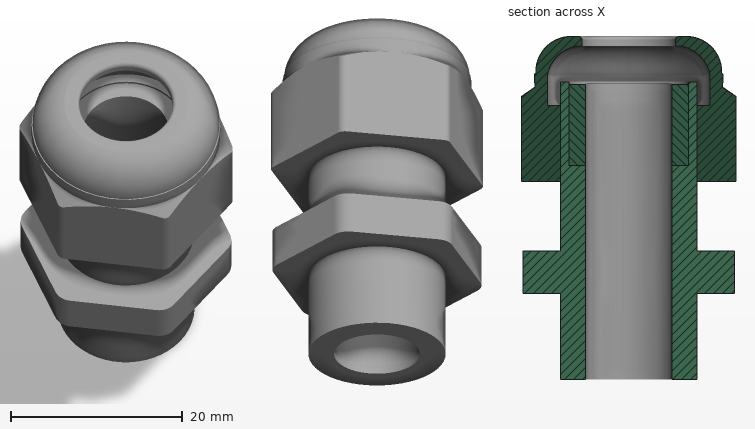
import cadquery as cq
import math

TOTAL_HEIGHT = 40.0
ACROSS_FLATS = 22.0

TUBE_RADIUS = 8.0
TUBE_TOP = 34.7
BORE_RADIUS = 5.0
FLANGE_BOTTOM = 10.0
FLANGE_HEIGHT = 5.0
FLANGE_CORNER_RADIUS = 2.15

SEAL_OUTER_RADIUS = 6.9
SEAL_INNER_RADIUS = BORE_RADIUS
SEAL_BOTTOM = 25.0
SEAL_TOP = 34.45

CAP_BOTTOM = 23.1
CAP_CORNER_RADIUS = 1.0
HEX_TOP = 34.1
HEX_CHAMFER_ANGLE = 35.0
COLLAR_RADIUS = ACROSS_FLATS / 2
COLLAR_TOP = 35.7
DOME_RADIUS = 10.9
DOME_FLAT_RADIUS = 7.2
DOME_ARC_RADIUS = 4.2
WALL_THICKNESS = 1.4
CAP_ROOF_THICKNESS = 1.1
CAP_OPENING_RADIUS = 5.45
OPENING_ROUND = 0.45
CAVITY_FLOOR = 32.0
CAVITY_WALL_TOP = 35.45


def cylinder(radius, bottom, top):
    return cq.Workplane("XY").workplane(offset=bottom).circle(radius).extrude(top - bottom)


def hexagon(bottom, height, corner_radius):
    """Hexagonal prism with two flats facing +X and -X and rounded upright corners."""
    corner_diameter = ACROSS_FLATS / math.cos(math.radians(30))
    return (
        cq.Workplane("XY").workplane(offset=bottom)
        .transformed(rotate=(0, 0, 90))
        .polygon(6, corner_diameter).extrude(height)
        .edges("|Z").fillet(corner_radius)
    )


def revolve_profile(profile):
    """Turn a closed radius-height profile about the Z axis."""
    return profile.close().revolve(360, (0, 0, 0), (0, 1, 0))


def dome(bottom, base, top, side_radius, flat_radius, arc_radius):
    """Cylinder from bottom to base, closed by an arc that meets a flat top."""
    return revolve_profile(
        cq.Workplane("XZ").moveTo(0, bottom)
        .lineTo(side_radius, bottom)
        .lineTo(side_radius, base)
        .radiusArc((flat_radius, top), -arc_radius)
        .lineTo(0, top)
    )


def chamfered_hexagon():
    """Hexagon whose upper corners are cut by a cone starting at the collar."""
    corner_reach = ACROSS_FLATS / 2 / math.cos(math.radians(30))
    drop = (corner_reach - COLLAR_RADIUS) * math.tan(math.radians(HEX_CHAMFER_ANGLE))
    cone = revolve_profile(
        cq.Workplane("XZ").moveTo(0, CAP_BOTTOM)
        .lineTo(corner_reach, CAP_BOTTOM)
        .lineTo(corner_reach, HEX_TOP - drop)
        .lineTo(COLLAR_RADIUS, HEX_TOP)
        .lineTo(0, HEX_TOP)
    )
    return hexagon(CAP_BOTTOM, HEX_TOP - CAP_BOTTOM, CAP_CORNER_RADIUS).intersect(cone)


def make_body():
    tube = cylinder(TUBE_RADIUS, 0, TUBE_TOP)
    flange = hexagon(FLANGE_BOTTOM, FLANGE_HEIGHT, FLANGE_CORNER_RADIUS)
    bore = cylinder(BORE_RADIUS, 0, TUBE_TOP)
    seal_seat = cylinder(SEAL_OUTER_RADIUS, SEAL_BOTTOM, TUBE_TOP)
    return tube.union(flange).cut(bore).cut(seal_seat)


def make_seal():
    ring = cylinder(SEAL_OUTER_RADIUS, SEAL_BOTTOM, SEAL_TOP)
    return ring.cut(cylinder(SEAL_INNER_RADIUS, SEAL_BOTTOM, SEAL_TOP))


def opening_cutter():
    """Cap opening, flaring outwards to a rounded upper edge."""
    return revolve_profile(
        cq.Workplane("XZ").moveTo(0, COLLAR_TOP)
        .lineTo(CAP_OPENING_RADIUS, COLLAR_TOP)
        .lineTo(CAP_OPENING_RADIUS, TOTAL_HEIGHT - OPENING_ROUND)
        .radiusArc((CAP_OPENING_RADIUS + OPENING_ROUND, TOTAL_HEIGHT), OPENING_ROUND)
        .lineTo(0, TOTAL_HEIGHT)
    )


def make_cap():
    collar = cylinder(COLLAR_RADIUS, HEX_TOP, COLLAR_TOP)
    shell = dome(HEX_TOP, COLLAR_TOP, TOTAL_HEIGHT, DOME_RADIUS, DOME_FLAT_RADIUS, DOME_ARC_RADIUS)
    cavity = dome(
        CAVITY_FLOOR, CAVITY_WALL_TOP, TOTAL_HEIGHT - CAP_ROOF_THICKNESS,
        DOME_RADIUS - WALL_THICKNESS, DOME_FLAT_RADIUS - WALL_THICKNESS,
        DOME_ARC_RADIUS,
    )
    tube_hole = cylinder(TUBE_RADIUS, CAP_BOTTOM, CAVITY_FLOOR)
    outside = chamfered_hexagon().union(collar).union(shell)
    return outside.cut(cavity).cut(tube_hole).cut(opening_cutter())


body = make_body()
seal = make_seal()
cap = make_cap()

result = cq.Compound.makeCompound([body.val(), seal.val(), cap.val()])